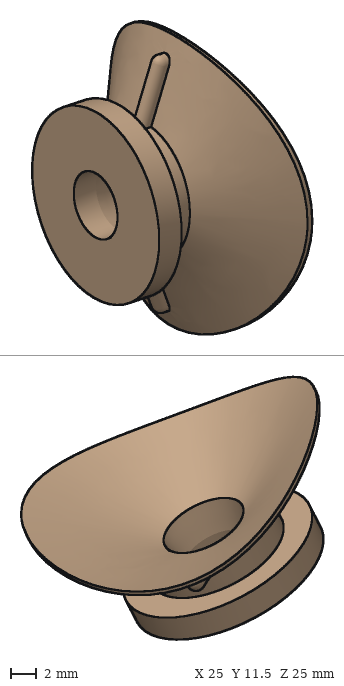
import cadquery as cq
import math


flange_radius = 8
flange_thickness = 2.2
neck_radius = 5.6
neck_end = 4.88
bore_radius = 2.75
throat_radius = 3.38

rim_radius = 12.5
lip_top_high = 11.5
lip_top_low = 7.8
lip_bottom_high = 11.02
lip_bottom_low = 7.45
rim_points = 48

rib_radius = 0.72
rib_tip_height = 11
rib_root_height = 4.75
rib_offset = 0.28
rib_embed = 0.15


def circle_edge(radius, y):
    return cq.Workplane("XZ", origin=(0, y, 0)).circle(radius).edges().val()


def saddle_edge(y_low, y_high):
    """Closed curve on the rim cylinder, with y rising and falling twice per turn."""
    angles = [2 * math.pi * i / rim_points for i in range(rim_points + 1)]
    points = []
    for angle in angles[:-1]:
        x = rim_radius * math.cos(angle)
        z = rim_radius * math.sin(angle)
        y = y_low + (y_high - y_low) * math.cos(angle) ** 2
        points.append(cq.Vector(x, y, z))
    return cq.Edge.makeSpline(points, periodic=True, parameters=angles)


def ruled_ring(start_circle, *sections):
    """Solid ring whose walls are ruled surfaces between successive closed edges."""
    loop = [start_circle, *sections, start_circle]
    walls = [cq.Face.makeRuledSurface(a, b) for a, b in zip(loop, loop[1:])]
    return cq.Workplane(cq.Solid.makeSolid(cq.Shell.makeShell(walls)))


def skirt():
    """Flexible skirt: outer surface, lip, inner surface and the flat ring on the neck."""
    return ruled_ring(
        circle_edge(neck_radius, neck_end),
        saddle_edge(lip_bottom_low, lip_bottom_high),
        saddle_edge(lip_top_low, lip_top_high),
        circle_edge(throat_radius, neck_end),
    )


def hub():
    """Flange and neck with the bore, turned about the Y axis."""
    profile = [
        (bore_radius, 0),
        (flange_radius, 0),
        (flange_radius, flange_thickness),
        (neck_radius, flange_thickness),
        (neck_radius, neck_end),
        (throat_radius, neck_end),
        (bore_radius, flange_thickness),
    ]
    return cq.Workplane("XY").polyline(profile).close().revolve(360, (0, 0), (0, 1))


def skirt_y(height):
    """Y of the skirt's outer surface in the plane x = 0, at a height above the axis."""
    slope = (lip_bottom_low - neck_end) / (rim_radius - neck_radius)
    return neck_end + (height - neck_radius) * slope


def rib_width_prism(outline):
    """Outline of (y, z) points, extruded to both sides of x = 0 over the width of a rib."""
    return cq.Workplane("YZ").polyline(outline).close().extrude(rib_radius, both=True)


def rib():
    """Rounded rod along the skirt with a ball end, carried straight along Y into the skirt."""
    ball_height = rib_tip_height - rib_radius
    root = cq.Vector(0, skirt_y(rib_root_height) - rib_offset, rib_root_height)
    ball = cq.Vector(0, skirt_y(ball_height) - rib_offset, ball_height)
    axis = ball - root
    root_inside_y = skirt_y(rib_root_height) + rib_embed
    tip_inside_y = skirt_y(rib_tip_height) + rib_embed

    rod = cq.Workplane(cq.Solid.makeCylinder(rib_radius, axis.Length, root, axis))
    end_ball = cq.Workplane("XY").sphere(rib_radius).translate(ball)
    end_post = cq.Workplane(
        cq.Solid.makeCylinder(rib_radius, tip_inside_y - ball.y, ball, cq.Vector(0, 1, 0))
    )
    web = rib_width_prism(
        [
            (root.y, root.z),
            (ball.y, ball.z),
            (skirt_y(ball_height) + rib_embed, ball.z),
            (root_inside_y, root.z),
        ]
    )
    outside_cavity = rib_width_prism(
        [
            (0, rib_root_height),
            (root_inside_y, rib_root_height),
            (tip_inside_y, rib_tip_height),
            (0, rib_tip_height),
        ]
    )
    return rod.union(end_ball).union(end_post).union(web).intersect(outside_cavity)


upper_rib = rib()
lower_rib = upper_rib.mirror("XY")
result = hub().union(skirt()).union(upper_rib).union(lower_rib).solids()